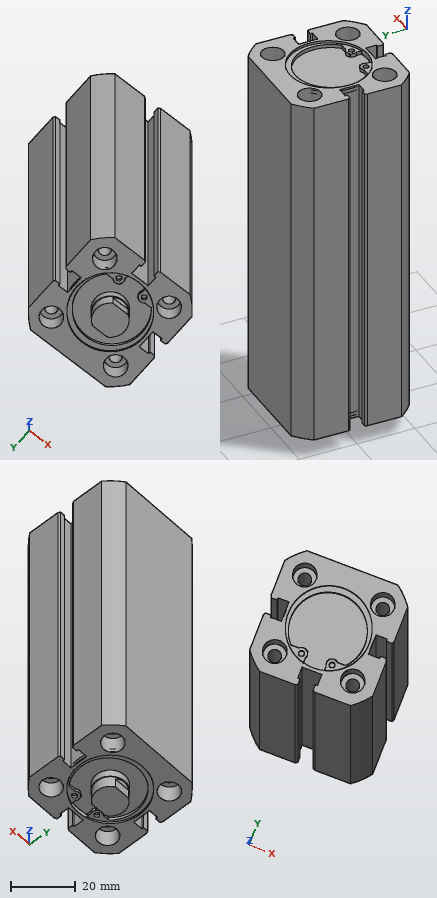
import cadquery as cq

body_side = 41.0
body_length = 123.0
corner_diameter = 51.0
bore_diameter = 27.0

hole_pitch = 26.0
hole_diameter = 4.2
counterbore_diameter = 7.6
counterbore_depth = 7.0

slot_floor = 14.5
slot_width = 6.6
mouth_width = 5.1
lip_thickness = 2.3
mouth_chamfer_width = 0.75
mouth_chamfer_depth = 0.4
slot_turns = (-90, 0, 90)

groove_inset = 0.8
ring_thickness = 1.2
groove_diameter = 28.76
ring_inner_diameter = 24.6
ring_inner_offset = 0.75
ear_x = 5.1
ear_y = -10.35
ear_radius = 1.9
ear_hole_diameter = 1.8
ear_web_top = -9.0
ring_half_gap = 3.5

head_cover_thickness = 10.0
rod_cover_thickness = 14.0
rod_diameter = 12.1
rod_projection = 6.0
rod_shoulder = 1.1
rod_end_diameter = 11.7
flats_width = 10.0
flats_length = 4.0

cover_inset = groove_inset + ring_thickness
rod_cover_top = cover_inset + rod_cover_thickness
head_cover_top = body_length - cover_inset
head_cover_bottom = head_cover_top - head_cover_thickness


def cylinder(diameter, bottom, top):
    """Round bar on the Z axis between two heights."""
    return cq.Workplane("XY").workplane(offset=bottom).circle(diameter / 2).extrude(top - bottom)


def make_slot_cutter():
    """T-shaped slot on the -Y side, with a chamfered mouth."""
    face = -body_side / 2
    half_mouth = mouth_width / 2
    half_slot = slot_width / 2
    half_outline = [
        (half_mouth + mouth_chamfer_width, face),
        (half_mouth, face + mouth_chamfer_depth),
        (half_mouth, face + lip_thickness),
        (half_slot, face + lip_thickness),
        (half_slot, -slot_floor),
    ]
    mirrored = [(-x, y) for x, y in reversed(half_outline)]
    return cq.Workplane("XY").polyline(half_outline + mirrored).close().extrude(body_length)


def make_ring_blank(bottom):
    """Disc of the groove size with a straight gap on the -Y side, which also shapes the groove."""
    groove_radius = groove_diameter / 2
    gap = (
        cq.Workplane("XY").workplane(offset=bottom).center(0, -groove_radius / 2)
        .rect(2 * ring_half_gap, groove_radius).extrude(ring_thickness)
    )
    return cylinder(groove_diameter, bottom, bottom + ring_thickness).cut(gap)


def make_housing():
    """Square extruded tube with rounded corners, sensor slots and mounting holes."""
    housing = cq.Workplane("XY").rect(body_side, body_side).extrude(body_length)
    housing = housing.intersect(cylinder(corner_diameter, 0, body_length))
    housing = housing.cut(cylinder(bore_diameter, 0, body_length))
    for groove_bottom in (groove_inset, body_length - cover_inset):
        housing = housing.cut(make_ring_blank(groove_bottom))
    slot = make_slot_cutter()
    for angle in slot_turns:
        housing = housing.cut(slot.rotate((0, 0, 0), (0, 0, 1), angle))
    for end in (">Z", "<Z"):
        housing = (
            housing.faces(end).workplane(origin=(0, 0, 0))
            .rect(hole_pitch, hole_pitch, forConstruction=True).vertices()
            .cboreHole(hole_diameter, counterbore_diameter, counterbore_depth)
        )
    return housing


def make_retaining_ring(bottom):
    """Internal retaining ring with an open gap and two drilled ears on the -Y side."""
    plane = cq.Workplane("XY").workplane(offset=bottom)
    blank = make_ring_blank(bottom)
    opening = plane.center(0, -ring_inner_offset).circle(ring_inner_diameter / 2).extrude(ring_thickness)
    groove_radius = groove_diameter / 2
    web_width = groove_radius - ring_half_gap
    web_height = ear_web_top + groove_radius
    ring = blank.cut(opening)
    for side in (-1, 1):
        web = (
            plane.center(side * (ring_half_gap + web_width / 2), ear_web_top - web_height / 2)
            .rect(web_width, web_height).extrude(ring_thickness)
        )
        ear = plane.center(side * ear_x, ear_y).circle(ear_radius).extrude(ring_thickness)
        ear_hole = plane.center(side * ear_x, ear_y).circle(ear_hole_diameter / 2).extrude(ring_thickness)
        ring = ring.union(web.intersect(blank)).union(ear).cut(ear_hole)
    return ring


def make_head_cover():
    """Plain disc that closes the bore behind the upper retaining ring."""
    return cylinder(bore_diameter, head_cover_bottom, head_cover_top)


def make_rod_cover():
    """Disc with a central hole that guides the rod."""
    cover = cylinder(bore_diameter, cover_inset, rod_cover_top)
    return cover.cut(cylinder(rod_diameter, cover_inset, rod_cover_top))


def make_rod():
    """Piston rod with a slightly smaller end and two wrench flats that slope out to the shoulder."""
    rod = cylinder(rod_diameter, -rod_shoulder, head_cover_bottom)
    rod = rod.union(cylinder(rod_end_diameter, -rod_projection, -rod_shoulder))
    flat = flats_width / 2
    rod_radius = rod_diameter / 2
    flat_end = flats_length - rod_projection
    cutter = (
        cq.Workplane("YZ")
        .polyline([
            (flat, -rod_projection),
            (flat, flat_end),
            (rod_radius, -rod_shoulder),
            (rod_radius, -rod_projection),
        ])
        .close()
        .extrude(rod_radius, both=True)
    )
    return rod.cut(cutter).cut(cutter.mirror("XZ"))


housing = make_housing()
lower_ring = make_retaining_ring(groove_inset)
upper_ring = make_retaining_ring(body_length - cover_inset)
head_cover = make_head_cover()
rod_cover = make_rod_cover()
rod = make_rod()

result = cq.Compound.makeCompound([
    housing.val(),
    lower_ring.val(),
    upper_ring.val(),
    head_cover.val(),
    rod_cover.val(),
    rod.val(),
])